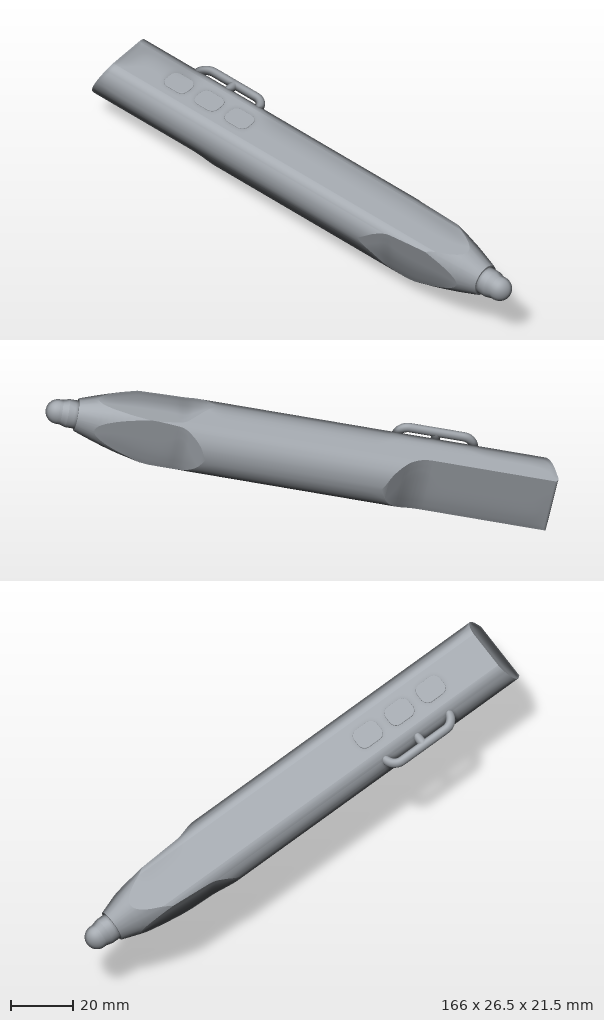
import cadquery as cq
import math


TOTAL_LENGTH = 166.0
TIP_DIAMETER = 8.0
TIP_RADIUS = TIP_DIAMETER / 2
COLLAR_DIAMETER = 9.15
COLLAR_RADIUS = COLLAR_DIAMETER / 2
TIP_CENTER_X = TOTAL_LENGTH - TIP_RADIUS
TIP_STRAIGHT = 1.0
COLLAR_TAPER = 2.0
COLLAR_LENGTH = 3.0
COLLAR_END_X = TIP_CENTER_X - TIP_STRAIGHT - COLLAR_TAPER
NOSE_END_X = COLLAR_END_X - COLLAR_LENGTH

BUTTON_HEIGHT = 0.25
TOTAL_HEIGHT = 21.5
TOP_Z = 7.85
BOTTOM_Z = TOP_Z + BUTTON_HEIGHT - TOTAL_HEIGHT
BODY_HALF_WIDTH = 12.0
TOP_FLAT_HALF_WIDTH = 6.5
SHOULDER_RADIUS = 7.5
TOP_CORNER_HALF_WIDTH = 9.5
TOP_CORNER_RADIUS = 5.0
BELLY_RADIUS = 10.2

REAR_CORNER_X = -0.54
REAR_TILT = 24.0
REAR_ROUND = 1.0
GRIP_DEPTH = 14.1
GRIP_Z = TOP_Z - GRIP_DEPTH
RAMP_START_X = 45.7
RAMP_END_X = 55.0
RAMP_CONCAVE_RADIUS = 13.5
RAMP_CONVEX_RADIUS = 3.0

NARROWING_START_X = 114.4
NARROWING_END_X = 122.0
NARROW_HALF_WIDTH = 9.2
NOSE_END_HALF_WIDTH = 6.95
FLANK_BLEND_RADIUS = 12.0
BELLY_CONVEX_RADIUS = 3.0
BELLY_CONCAVE_RADIUS = 8.0

NOSE_CUT_START = (130.0, 12.7)
NOSE_MIDDLE = (148.5, TOP_Z)
NOSE_END = (NOSE_END_X, 5.3)

BUTTON_COUNT = 3
BUTTON_LENGTH = 9.3
BUTTON_WIDTH = 7.2
BUTTON_CORNER_RADIUS = 2.6
BUTTON_EDGE_ROUND = 0.2
BUTTON_ROOT_DEPTH = 1.0
BUTTON_PITCH = 12.65
FIRST_BUTTON_X = 27.9

LOOP_DIAMETER = 3.0
LOOP_OVERHANG = 2.5
LOOP_Y = BODY_HALF_WIDTH + LOOP_OVERHANG - LOOP_DIAMETER / 2
LOOP_DROP = 2.5
LOOP_Z = TOP_Z - LOOP_DROP
LOOP_CENTER_X = 40.45
LOOP_STRAIGHT_LENGTH = 17.5
LOOP_BEND_RADIUS = 4.0
LOOP_ROOT_Y = 7.0

MARGIN = 10.0


def body_prism():
    """Full cross-section from end to end: flat top, rounded corners, shoulders and belly."""
    shoulder_y = BODY_HALF_WIDTH - SHOULDER_RADIUS
    flat_offset = TOP_FLAT_HALF_WIDTH - shoulder_y
    corner_offset = TOP_CORNER_HALF_WIDTH - shoulder_y
    shoulder_z = TOP_Z - math.sqrt(SHOULDER_RADIUS**2 - flat_offset**2)
    corner_z = shoulder_z + math.sqrt(SHOULDER_RADIUS**2 - corner_offset**2)
    belly_z = BOTTOM_Z + BELLY_RADIUS

    center_gap = math.hypot(shoulder_y, shoulder_z - belly_z)
    center_angle = math.atan2(shoulder_z - belly_z, shoulder_y)
    dip = math.acos((BELLY_RADIUS - SHOULDER_RADIUS) / center_gap) - center_angle

    shoulder_end_y = shoulder_y + SHOULDER_RADIUS * math.cos(dip)
    shoulder_end_z = shoulder_z - SHOULDER_RADIUS * math.sin(dip)
    belly_end_y = BELLY_RADIUS * math.cos(dip)
    belly_end_z = belly_z - BELLY_RADIUS * math.sin(dip)

    return (
        cq.Workplane("YZ", origin=(-MARGIN, 0, 0))
        .moveTo(-TOP_FLAT_HALF_WIDTH, TOP_Z)
        .lineTo(TOP_FLAT_HALF_WIDTH, TOP_Z)
        .radiusArc((TOP_CORNER_HALF_WIDTH, corner_z), TOP_CORNER_RADIUS)
        .threePointArc((BODY_HALF_WIDTH, shoulder_z), (shoulder_end_y, shoulder_end_z))
        .lineTo(belly_end_y, belly_end_z)
        .threePointArc((0, BOTTOM_Z), (-belly_end_y, belly_end_z))
        .lineTo(-shoulder_end_y, shoulder_end_z)
        .threePointArc((-BODY_HALF_WIDTH, shoulder_z), (-TOP_CORNER_HALF_WIDTH, corner_z))
        .radiusArc((-TOP_FLAT_HALF_WIDTH, TOP_Z), TOP_CORNER_RADIUS)
        .close()
        .extrude(NOSE_END_X + MARGIN)
    )


def round_corner(solid, axis, x, offset, radius):
    """Fillet the edge along Y at (X, Z) = (x, offset), or along Z at (X, Y) = (x, offset)."""
    point = (x, 0, offset) if axis == "Y" else (x, offset, 0)
    return solid.edges("|" + axis).edges(cq.NearestToPointSelector(point)).fillet(radius)


def side_envelope():
    """Side outline: slanted rear, relieved underside, ramp, belly and narrowing."""
    rear_run = math.tan(math.radians(REAR_TILT))
    envelope_top = TOP_Z + MARGIN
    rear_top_x = REAR_CORNER_X + (envelope_top - GRIP_Z) * rear_run
    envelope = (
        cq.Workplane("XZ")
        .moveTo(REAR_CORNER_X, GRIP_Z)
        .lineTo(RAMP_START_X, GRIP_Z)
        .lineTo(RAMP_END_X, BOTTOM_Z)
        .lineTo(NARROWING_START_X, BOTTOM_Z)
        .lineTo(NARROWING_END_X, -NARROW_HALF_WIDTH)
        .lineTo(NOSE_END_X, -NOSE_END_HALF_WIDTH)
        .lineTo(NOSE_END_X, envelope_top)
        .lineTo(rear_top_x, envelope_top)
        .close()
        .extrude(BODY_HALF_WIDTH + MARGIN, both=True)
    )
    corners = [
        (REAR_CORNER_X, GRIP_Z, REAR_ROUND),
        (RAMP_START_X, GRIP_Z, RAMP_CONCAVE_RADIUS),
        (RAMP_END_X, BOTTOM_Z, RAMP_CONVEX_RADIUS),
        (NARROWING_START_X, BOTTOM_Z, BELLY_CONVEX_RADIUS),
        (NARROWING_END_X, -NARROW_HALF_WIDTH, BELLY_CONCAVE_RADIUS),
    ]
    for x, z, radius in corners:
        envelope = round_corner(envelope, "Y", x, z, radius)
    return envelope


def plan_envelope():
    """Plan outline: parallel flanks, then blended narrowing flats on both sides."""
    envelope = (
        cq.Workplane("XY")
        .moveTo(-MARGIN, -BODY_HALF_WIDTH)
        .lineTo(NARROWING_START_X, -BODY_HALF_WIDTH)
        .lineTo(NARROWING_END_X, -NARROW_HALF_WIDTH)
        .lineTo(NOSE_END_X, -NOSE_END_HALF_WIDTH)
        .lineTo(NOSE_END_X, NOSE_END_HALF_WIDTH)
        .lineTo(NARROWING_END_X, NARROW_HALF_WIDTH)
        .lineTo(NARROWING_START_X, BODY_HALF_WIDTH)
        .lineTo(-MARGIN, BODY_HALF_WIDTH)
        .close()
        .extrude(TOTAL_HEIGHT + MARGIN, both=True)
    )
    for side in (-1, 1):
        for x, half_width in (
            (NARROWING_START_X, BODY_HALF_WIDTH),
            (NARROWING_END_X, NARROW_HALF_WIDTH),
        ):
            envelope = round_corner(envelope, "Z", x, side * half_width, FLANK_BLEND_RADIUS)
    return envelope


def nose_cutter():
    """Ring around the tip axis that trims the body's end to a bulged cone."""
    outer_radius = TOTAL_HEIGHT
    return (
        cq.Workplane("XY")
        .moveTo(*NOSE_CUT_START)
        .threePointArc(NOSE_MIDDLE, NOSE_END)
        .lineTo(NOSE_END_X + MARGIN, NOSE_END[1])
        .lineTo(NOSE_END_X + MARGIN, outer_radius)
        .lineTo(NOSE_CUT_START[0], outer_radius)
        .close()
        .revolve(360, (0, 0, 0), (1, 0, 0))
    )


def tip():
    """Collar, short taper and ball-ended tip, turned about the X axis."""
    root_x = NOSE_END_X - COLLAR_LENGTH
    ball_step = TIP_RADIUS * math.sqrt(0.5)
    return (
        cq.Workplane("XY")
        .moveTo(root_x, 0)
        .lineTo(root_x, COLLAR_RADIUS)
        .lineTo(COLLAR_END_X, COLLAR_RADIUS)
        .lineTo(COLLAR_END_X + COLLAR_TAPER, TIP_RADIUS)
        .lineTo(TIP_CENTER_X, TIP_RADIUS)
        .threePointArc((TIP_CENTER_X + ball_step, ball_step), (TOTAL_LENGTH, 0))
        .close()
        .revolve(360, (0, 0, 0), (1, 0, 0))
    )


def buttons():
    """Row of rounded-rectangle buttons standing slightly proud of the top flat."""
    centers = [(FIRST_BUTTON_X + i * BUTTON_PITCH, 0) for i in range(BUTTON_COUNT)]
    return (
        cq.Workplane("XY", origin=(0, 0, TOP_Z - BUTTON_ROOT_DEPTH))
        .pushPoints(centers)
        .rect(BUTTON_LENGTH, BUTTON_WIDTH)
        .extrude(BUTTON_ROOT_DEPTH + BUTTON_HEIGHT)
        .edges("|Z")
        .fillet(BUTTON_CORNER_RADIUS)
        .faces(">Z")
        .edges()
        .fillet(BUTTON_EDGE_ROUND)
    )


def lanyard_loop():
    """Round bar bent into the flank at both ends, with a post at its middle."""
    radius = LOOP_DIAMETER / 2
    half_straight = LOOP_STRAIGHT_LENGTH / 2
    half_span = half_straight + LOOP_BEND_RADIUS
    bend_end_y = LOOP_Y - LOOP_BEND_RADIUS
    plane = cq.Workplane("XY", origin=(LOOP_CENTER_X, 0, LOOP_Z))
    path = (
        plane.moveTo(-half_span, LOOP_ROOT_Y)
        .lineTo(-half_span, bend_end_y)
        .tangentArcPoint((LOOP_BEND_RADIUS, LOOP_BEND_RADIUS))
        .lineTo(half_straight, LOOP_Y)
        .tangentArcPoint((LOOP_BEND_RADIUS, -LOOP_BEND_RADIUS))
        .lineTo(half_span, LOOP_ROOT_Y)
    )
    root = cq.Workplane("XZ", origin=(LOOP_CENTER_X - half_span, LOOP_ROOT_Y, LOOP_Z))
    bar = root.circle(radius).sweep(path)
    post = (
        cq.Workplane("XZ", origin=(LOOP_CENTER_X, LOOP_Y, LOOP_Z))
        .circle(radius)
        .extrude(LOOP_Y - LOOP_ROOT_Y)
    )
    return bar.union(post)


body = body_prism().intersect(side_envelope()).intersect(plan_envelope()).cut(nose_cutter())
result = body.union(tip()).union(buttons()).union(lanyard_loop())